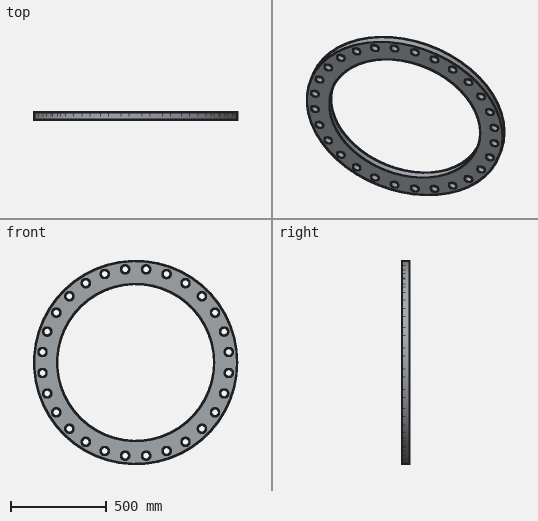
import cadquery as cq

outer_diameter = 1060.0
bore_diameter = 818.0
thickness = 40.0

hole_count = 28
hole_diameter = 41.0
bolt_circle_diameter = 978.0
hole_pitch_angle = 360 / hole_count

ring = (
    cq.Workplane("XZ")
    .circle(outer_diameter / 2)
    .circle(bore_diameter / 2)
    .extrude(thickness)
)

bolt_holes = (
    cq.Workplane("XZ")
    .polarArray(bolt_circle_diameter / 2, hole_pitch_angle / 2, 360, hole_count)
    .circle(hole_diameter / 2)
    .extrude(thickness)
)

result = ring.cut(bolt_holes)